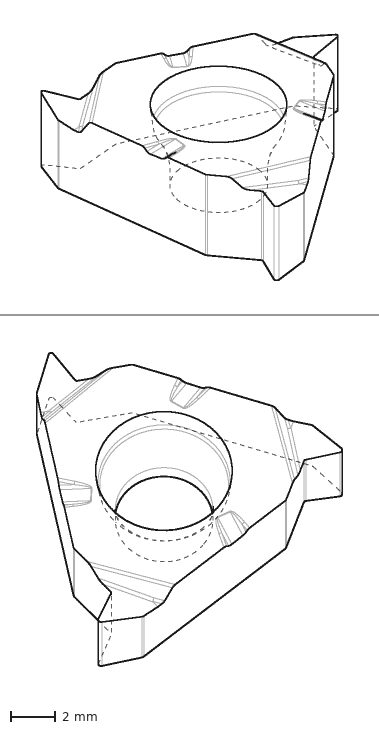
import cadquery as cq
import math

TOOTH_COUNT = 3
TOOTH_PITCH = 360 / TOOTH_COUNT
HEIGHT = 4.38
MARGIN = 1.0
TOLERANCE = 1e-4

INSCRIBED_RADIUS = 9.525 / 2
SHOULDER_Y = 5.69
FLANK_ANGLE = 27.5
TIP_X = -3.77
TIP_Y = 7.19
TIP_RADIUS = 0.13
CORNER_RADIUS = 0.2
VALLEY_RADIUS = 0.1

TIP_DEPTH = 0.36
RAKE_ANGLE = 10
RAKE_END_Y = 4.53
WALL_ANGLE = 60
WALL_AZIMUTH = 32
WALL_START_Y = 3.60
LIP_RADIUS = 0.17
ROOT_RADIUS = 0.17

NOTCH_Y = -0.22
NOTCH_AZIMUTH = -14
NOTCH_RAMP = 10
NOTCH_LENGTH = 1.35
NOTCH_FLOOR_WIDTH = 0.86
NOTCH_WALL_ANGLE = 45
NOTCH_ROOT_RADIUS = 0.27
NOTCH_LIP_RADIUS = 0.2

MOUTH_RADIUS = 3.075
TAPER_END_RADIUS = 2.98
TAPER_END_DEPTH = 1.02
BELL_START_RADIUS = 2.9
BELL_START_DEPTH = 1.265
BORE_RADIUS = 4.4 / 2
BELL_END_DEPTH = 3.54


def sin(angle):
    return math.sin(math.radians(angle))


def cos(angle):
    return math.cos(math.radians(angle))


def tan(angle):
    return math.tan(math.radians(angle))


def turn(point, angle):
    x, y = point
    return (x * cos(angle) - y * sin(angle), x * sin(angle) + y * cos(angle))


def cut_around(body, cutter):
    """Cut the body once per tooth about the bore axis."""
    for index in range(TOOTH_COUNT):
        body = body.cut(cutter.rotate((0, 0, 0), (0, 0, 1), index * TOOTH_PITCH))
    return body


def make_blank():
    apex_y = TIP_Y + TIP_RADIUS * (1 / sin(FLANK_ANGLE) - 1)
    side_x = -INSCRIBED_RADIUS
    side_corner = (side_x, apex_y - (TIP_X - side_x) / tan(FLANK_ANGLE))
    apex = (TIP_X, apex_y)
    valley = (TIP_X + (apex_y - SHOULDER_Y) * tan(FLANK_ANGLE), SHOULDER_Y)
    side_normal = TOOTH_PITCH / 2
    shoulder_end_x = (INSCRIBED_RADIUS - SHOULDER_Y * sin(side_normal)) / cos(side_normal)
    shoulder_end = (shoulder_end_x, SHOULDER_Y)
    tooth = [side_corner, apex, valley, shoulder_end]

    points = []
    for index in range(TOOTH_COUNT):
        points += [turn(point, -index * TOOTH_PITCH) for point in tooth]
    blank = cq.Workplane("XY").polyline(points).close().extrude(HEIGHT)

    rounds = [CORNER_RADIUS, TIP_RADIUS, VALLEY_RADIUS, CORNER_RADIUS]
    for corner, radius in zip(tooth, rounds):
        for index in range(TOOTH_COUNT):
            x, y = turn(corner, -index * TOOTH_PITCH)
            edge = cq.selectors.NearestToPointSelector((x, y, HEIGHT / 2))
            blank = blank.edges(edge).fillet(radius)
    return blank


def make_chip_breaker():
    ceiling = HEIGHT + MARGIN
    outer_y = TIP_Y + MARGIN
    floor_depth = TIP_DEPTH + (TIP_Y - RAKE_END_Y) * tan(RAKE_ANGLE)
    outer_depth = TIP_DEPTH - MARGIN * tan(RAKE_ANGLE)

    above_floor = (
        cq.Workplane("YZ", origin=(-INSCRIBED_RADIUS - MARGIN, 0, 0))
        .moveTo(0, HEIGHT - floor_depth)
        .lineTo(RAKE_END_Y, HEIGHT - floor_depth)
        .lineTo(outer_y, HEIGHT - outer_depth)
        .lineTo(outer_y, ceiling)
        .lineTo(0, ceiling)
        .close()
        .extrude(INSCRIBED_RADIUS + MARGIN)
    )

    lip_start = -LIP_RADIUS * tan(WALL_ANGLE / 2)

    def lip_point(angle):
        return (lip_start + LIP_RADIUS * sin(angle), LIP_RADIUS * (cos(angle) - 1))

    lip_end = lip_point(WALL_ANGLE)
    wall_depth = floor_depth + MARGIN
    wall_plane = cq.Plane(
        origin=(-INSCRIBED_RADIUS, WALL_START_Y, HEIGHT),
        xDir=(-sin(WALL_AZIMUTH), cos(WALL_AZIMUTH), 0),
        normal=(cos(WALL_AZIMUTH), sin(WALL_AZIMUTH), 0),
    )
    beyond_wall = (
        cq.Workplane(wall_plane)
        .moveTo(lip_start, 0)
        .threePointArc(lip_point(WALL_ANGLE / 2), lip_end)
        .lineTo(wall_depth / tan(WALL_ANGLE), -wall_depth)
        .lineTo(outer_y, -wall_depth)
        .lineTo(outer_y, MARGIN)
        .lineTo(lip_start, MARGIN)
        .close()
        .extrude(2 * INSCRIBED_RADIUS, both=True)
    )
    cutter = above_floor.intersect(beyond_wall)

    def is_root(edge):
        middle = wall_plane.toLocalCoords(edge.positionAt(0.5))
        on_wall = abs(middle.x + middle.y / tan(WALL_ANGLE)) < TOLERANCE
        below_lip = middle.y < lip_end[1] - TOLERANCE
        alignment = abs(edge.tangentAt(0.5).dot(wall_plane.zDir))
        return on_wall and below_lip and alignment > cos(RAKE_ANGLE)

    return cutter.edges().filter(is_root).fillet(ROOT_RADIUS)


def make_notch():
    edge_depth = NOTCH_LENGTH * tan(NOTCH_RAMP)
    half_floor = NOTCH_FLOOR_WIDTH / 2
    wall_rise = edge_depth + MARGIN
    half_top = half_floor + wall_rise / tan(NOTCH_WALL_ANGLE)
    run = (
        cos(NOTCH_AZIMUTH) * cos(NOTCH_RAMP),
        sin(NOTCH_AZIMUTH) * cos(NOTCH_RAMP),
        sin(NOTCH_RAMP),
    )
    entry = cq.Plane(
        origin=(-INSCRIBED_RADIUS, NOTCH_Y, HEIGHT - edge_depth),
        xDir=(-sin(NOTCH_AZIMUTH), cos(NOTCH_AZIMUTH), 0),
        normal=run,
    )
    return (
        cq.Workplane(entry)
        .polyline([
            (-half_floor, 0),
            (half_floor, 0),
            (half_top, wall_rise),
            (-half_top, wall_rise),
        ])
        .close()
        .extrude(NOTCH_LENGTH + MARGIN, both=True)
        .edges(cq.selectors.ParallelDirSelector(cq.Vector(*run)))
        .edges("<Z")
        .fillet(NOTCH_ROOT_RADIUS)
    )


def make_screw_seat():
    taper_end = (TAPER_END_RADIUS, HEIGHT - TAPER_END_DEPTH)
    bell_start = (BELL_START_RADIUS, HEIGHT - BELL_START_DEPTH)
    bell_end = (BORE_RADIUS, HEIGHT - BELL_END_DEPTH)

    bell_width = BELL_START_RADIUS - BORE_RADIUS
    bell_height = BELL_END_DEPTH - BELL_START_DEPTH
    bell_radius = (bell_width**2 + bell_height**2) / (2 * bell_width)
    half_sweep = math.degrees(math.asin(bell_height / bell_radius)) / 2
    bell_middle = (
        BORE_RADIUS + bell_radius * (1 - cos(half_sweep)),
        bell_end[1] + bell_radius * sin(half_sweep),
    )
    return (
        cq.Workplane("XZ")
        .moveTo(0, HEIGHT)
        .lineTo(MOUTH_RADIUS, HEIGHT)
        .lineTo(*taper_end)
        .tangentArcPoint(bell_start, relative=False)
        .threePointArc(bell_middle, bell_end)
        .lineTo(BORE_RADIUS, 0)
        .lineTo(0, 0)
        .close()
        .revolve(360, (0, 0, 0), (0, 1, 0))
    )


def round_notch_lips(body):
    return body.faces(">Z").edges("%ELLIPSE").fillet(NOTCH_LIP_RADIUS)


insert = make_blank()
insert = cut_around(insert, make_chip_breaker())
insert = cut_around(insert, make_notch())
insert = round_notch_lips(insert)
result = insert.cut(make_screw_seat())